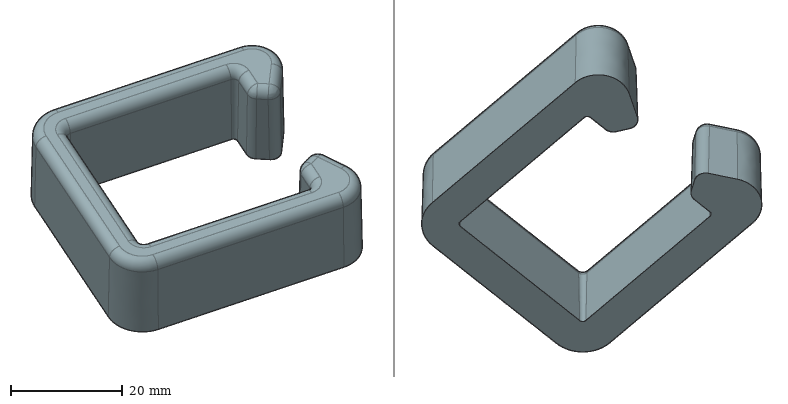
import cadquery as cq
import math

WIDTH = 44.5
LENGTH = 49.5
HEIGHT = 17.0
WALL = 6.55
DRAFT_ANGLE = 1.0

CLOSED_CORNER_RADIUS = 6.8
HOOK_SHOULDER_RADIUS = 5.8
INNER_CORNER_RADIUS = 0.8

HOOK_SLOPE_ANGLE = 30.0
HOOK_SLOPE_LENGTH = 7.4
HOOK_THICKNESS = 9.4

EDGE_RADIUS = 2.05

OUTER_X = WIDTH / 2
INNER_X = OUTER_X - WALL
CLOSED_END_Y = -LENGTH / 2
OPEN_END_Y = LENGTH / 2
INNER_END_Y = CLOSED_END_Y + WALL
HOOK_UNDERSIDE_Y = OPEN_END_Y - HOOK_THICKNESS


def right_half_corners():
    """Sharp corners of the right half of the outline, named in order around it."""
    sine = math.sin(math.radians(HOOK_SLOPE_ANGLE))
    cosine = math.cos(math.radians(HOOK_SLOPE_ANGLE))
    shoulder_center_x = OUTER_X - HOOK_SHOULDER_RADIUS
    shoulder_center_y = OPEN_END_Y - HOOK_SHOULDER_RADIUS

    shoulder_y = shoulder_center_y + HOOK_SHOULDER_RADIUS * (1 + sine) / cosine
    tip_x = shoulder_center_x - HOOK_SHOULDER_RADIUS * sine - HOOK_SLOPE_LENGTH * cosine
    tip_y = shoulder_center_y + HOOK_SHOULDER_RADIUS * cosine - HOOK_SLOPE_LENGTH * sine

    heel_x = tip_x + (tip_y - HOOK_UNDERSIDE_Y) * sine / cosine
    return {
        "closed": (OUTER_X, CLOSED_END_Y),
        "shoulder": (OUTER_X, shoulder_y),
        "tip": (tip_x, tip_y),
        "heel": (heel_x, HOOK_UNDERSIDE_Y),
        "hook root": (INNER_X, HOOK_UNDERSIDE_Y),
        "inner": (INNER_X, INNER_END_Y),
    }


def mirrored(point):
    return (-point[0], point[1])


def clip_outline(corners):
    """Base outline of the clip with its wall corners rounded and its hook tips left sharp."""
    right_side = list(corners.values())
    left_side = [mirrored(point) for point in reversed(right_side)]
    outline = cq.Sketch().polygon(right_side + left_side + right_side[:1])
    corner_radii = {
        "closed": CLOSED_CORNER_RADIUS,
        "shoulder": HOOK_SHOULDER_RADIUS,
        "hook root": INNER_CORNER_RADIUS,
        "inner": INNER_CORNER_RADIUS,
    }
    for name, radius in corner_radii.items():
        for point in (corners[name], mirrored(corners[name])):
            nearest = cq.selectors.NearestToPointSelector((*point, 0))
            outline = outline.reset().vertices(nearest).fillet(radius)
    return outline.reset()


def clip_body():
    """Drafted C-shaped clip with a rounded top rim and rounded hook tips."""
    corners = right_half_corners()
    body = cq.Workplane("XY").placeSketch(clip_outline(corners)).extrude(HEIGHT, taper=DRAFT_ANGLE)

    for name in ("tip", "heel"):
        for point in (corners[name], mirrored(corners[name])):
            nearest = cq.selectors.NearestToPointSelector((*point, HEIGHT / 2))
            body = body.edges(nearest).fillet(EDGE_RADIUS)
    return body.faces(">Z").edges().fillet(EDGE_RADIUS)


clip = clip_body()

result = cq.Compound.makeCompound([clip.val()])